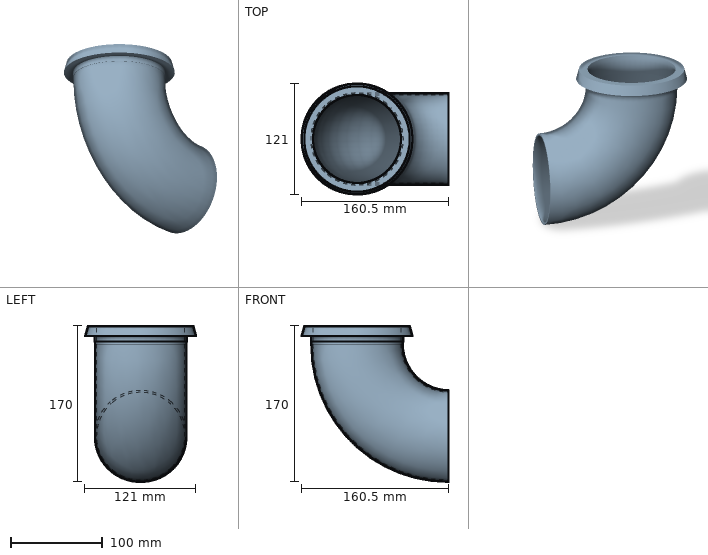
import cadquery as cq

pipe_diameter = 100.0
bore_diameter = 96.0
bend_radius = 100.0

flange_base_diameter = 121.0
flange_top_diameter = 115.0
flange_height = 11.0
collar_diameter = 101.0
collar_height = 6.0

straight_length = 3.0

flange_bottom_z = -flange_height
collar_bottom_z = flange_bottom_z - collar_height
bend_start_z = collar_bottom_z - straight_length


def make_bent_rod(diameter):
    """Solid rod running down from Z = 0, then turning a quarter circle to face +X."""
    straight = cq.Workplane("XY").circle(diameter / 2).extrude(bend_start_z)
    bend = (
        cq.Workplane("XY", origin=(0, 0, bend_start_z))
        .circle(diameter / 2)
        .revolve(90, (bend_radius, 0, 0), (bend_radius, -1, 0))
    )
    return straight.union(bend)


def make_flanged_collar():
    """Solid collar with a flange that narrows towards its top face."""
    half_profile = [
        (0, 0),
        (flange_top_diameter / 2, 0),
        (flange_base_diameter / 2, flange_bottom_z),
        (collar_diameter / 2, flange_bottom_z),
        (collar_diameter / 2, collar_bottom_z),
        (0, collar_bottom_z),
    ]
    return cq.Workplane("XZ").polyline(half_profile).close().revolve(360, (0, 0, 0), (0, 1, 0))


outer_body = make_bent_rod(pipe_diameter).union(make_flanged_collar())
bore = make_bent_rod(bore_diameter)

result = outer_body.cut(bore)